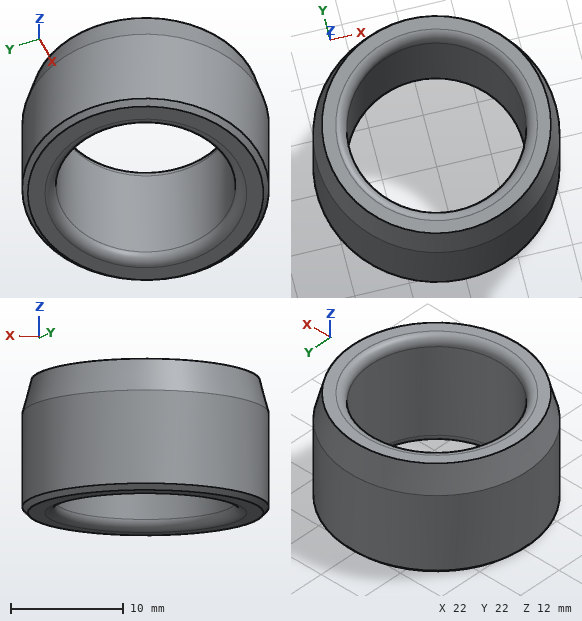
import cadquery as cq
import math

outer_radius = 11.0
bore_radius = 16.0 / 2
height = 12.0

taper_height = 3.0
taper_angle = 15.0
bottom_chamfer = 0.5
mouth_radius = 1.0

top_radius = outer_radius - taper_height * math.tan(math.radians(taper_angle))
arc_offset = mouth_radius * (1 - math.sqrt(0.5))

section = (
    cq.Workplane("XZ")
    .moveTo(bore_radius + mouth_radius, 0)
    .lineTo(outer_radius - bottom_chamfer, 0)
    .lineTo(outer_radius, bottom_chamfer)
    .lineTo(outer_radius, height - taper_height)
    .lineTo(top_radius, height)
    .lineTo(bore_radius + mouth_radius, height)
    .threePointArc(
        (bore_radius + arc_offset, height - arc_offset),
        (bore_radius, height - mouth_radius),
    )
    .lineTo(bore_radius, mouth_radius)
    .threePointArc(
        (bore_radius + arc_offset, arc_offset),
        (bore_radius + mouth_radius, 0),
    )
    .close()
)

result = section.revolve(360, (0, 0, 0), (0, 1, 0))